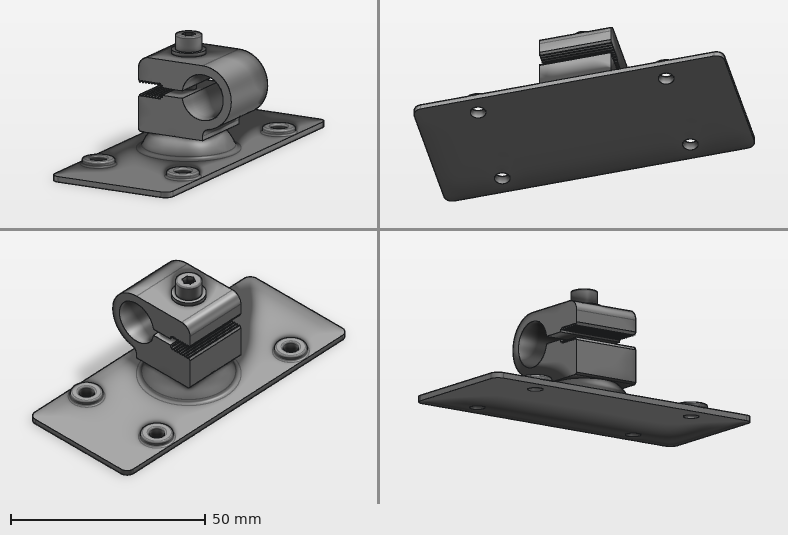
import cadquery as cq
import math

plate_width = 35.0
plate_length = 82.5
plate_thickness = 1.5
plate_corner_radius = 2.25

eyelet_spacing_x = 25.0
eyelet_spacing_y = 50.0
eyelet_hole_radius = 2.0
eyelet_rim_radius = 4.25
eyelet_height = 1.5
eyelet_round = 0.5

ball_radius = 13.3
foot_radius = 13.5
foot_blend_radius = 1.5

block_width = 19.0
block_depth = 19.0
block_bottom = 6.88
block_height = 20.0
block_top = block_bottom + block_height
block_left = -block_width / 2
block_right = block_width / 2
block_top_round = 3.0
block_bottom_chamfer = 0.5

tube_radius = 6.1
clamp_radius = 8.5
clamp_x = block_right
clamp_z = block_top - clamp_radius
clamp_neck_round = 2.0

slit_gap = 2.0
jaw_gap = 3.2
jaw_end_x = -2.5
tooth_flank_angle = 30.0
tooth_height = 0.45
tooth_pitch = 0.88
tooth_count = 7

shank_radius = 2.0
washer_radius = 4.5
washer_thickness = 1.0
head_radius = 3.45
head_height = 4.0
head_round = 0.35
socket_across_flats = 3.0
socket_depth = 2.0


def make_plate():
    """Thin rectangular plate with rounded corners."""
    plate = cq.Workplane("XY").rect(plate_width, plate_length).extrude(plate_thickness)
    return plate.edges("|Z").fillet(plate_corner_radius)


def make_eyelet():
    """Ring standing on the plate, flared at its foot and rounded over at its rim."""
    inner_top_radius = eyelet_hole_radius + eyelet_round
    z_top = plate_thickness + eyelet_height
    diagonal = eyelet_round * math.sqrt(0.5)
    profile = (
        cq.Workplane("XZ")
        .moveTo(eyelet_hole_radius, 0)
        .lineTo(eyelet_rim_radius, 0)
        .lineTo(eyelet_rim_radius + eyelet_round, plate_thickness)
        .threePointArc(
            (
                eyelet_rim_radius + eyelet_round - diagonal,
                plate_thickness + eyelet_round - diagonal,
            ),
            (eyelet_rim_radius, plate_thickness + eyelet_round),
        )
        .lineTo(eyelet_rim_radius, z_top - eyelet_round)
        .threePointArc(
            (eyelet_rim_radius - eyelet_round + diagonal, z_top - eyelet_round + diagonal),
            (eyelet_rim_radius - eyelet_round, z_top),
        )
        .lineTo(inner_top_radius, z_top)
        .threePointArc(
            (inner_top_radius - diagonal, z_top - eyelet_round + diagonal),
            (eyelet_hole_radius, z_top - eyelet_round),
        )
        .close()
    )
    return profile.revolve(360, (0, 0, 0), (0, 1, 0))


def add_eyelets(plate):
    """Drill the plate and put an eyelet at each of the four holes."""
    eyelet = make_eyelet()
    centres = cq.Workplane("XY").rect(eyelet_spacing_x, eyelet_spacing_y, forConstruction=True).vertices()
    plate = plate.cut(centres.circle(eyelet_hole_radius).extrude(plate_thickness))
    for centre in centres.vals():
        plate = plate.union(eyelet.translate((centre.X, centre.Y, 0)))
    return plate


def make_foot():
    """Ball zone from the plate to the block, with a hollow blend tangent to both plate and ball."""
    blend_z = plate_thickness + foot_blend_radius
    reach = ball_radius + foot_blend_radius
    ball_z = blend_z - math.sqrt(reach**2 - foot_radius**2)
    slope = math.atan2(blend_z - ball_z, foot_radius)
    blend_mid_angle = (slope + math.pi / 2) / 2
    top_radius = math.sqrt(ball_radius**2 - (block_bottom - ball_z) ** 2)
    ball_mid_angle = (slope + math.acos(top_radius / ball_radius)) / 2
    profile = (
        cq.Workplane("XZ")
        .moveTo(0, 0)
        .lineTo(foot_radius, 0)
        .lineTo(foot_radius, plate_thickness)
        .threePointArc(
            (
                foot_radius - foot_blend_radius * math.cos(blend_mid_angle),
                blend_z - foot_blend_radius * math.sin(blend_mid_angle),
            ),
            (ball_radius * math.cos(slope), ball_z + ball_radius * math.sin(slope)),
        )
        .threePointArc(
            (
                ball_radius * math.cos(ball_mid_angle),
                ball_z + ball_radius * math.sin(ball_mid_angle),
            ),
            (top_radius, block_bottom),
        )
        .lineTo(0, block_bottom)
        .close()
    )
    return profile.revolve(360, (0, 0, 0), (0, 1, 0))


def extrude_across(profile):
    """Extrude a closed XZ profile over the block depth, centred on Y = 0."""
    return profile.extrude(block_depth / 2, both=True)


def make_block_body():
    """Block outline with the round clamp end, blended into the right wall by a small neck round."""
    neck_x = clamp_x + clamp_neck_round
    neck_reach = clamp_radius + clamp_neck_round
    neck_z = clamp_z - math.sqrt(neck_reach**2 - clamp_neck_round**2)
    neck_angle = math.atan2(clamp_z - neck_z, clamp_x - neck_x)
    neck_mid_angle = (neck_angle + math.pi) / 2
    outline = (
        cq.Workplane("XZ")
        .moveTo(block_left + block_bottom_chamfer, block_bottom)
        .lineTo(block_right, block_bottom)
        .lineTo(block_right, neck_z)
        .threePointArc(
            (
                neck_x + clamp_neck_round * math.cos(neck_mid_angle),
                neck_z + clamp_neck_round * math.sin(neck_mid_angle),
            ),
            (
                neck_x + clamp_neck_round * math.cos(neck_angle),
                neck_z + clamp_neck_round * math.sin(neck_angle),
            ),
        )
        .threePointArc((clamp_x + clamp_radius, clamp_z), (clamp_x, block_top))
        .lineTo(block_left + block_top_round, block_top)
        .radiusArc((block_left, block_top - block_top_round), -block_top_round)
        .lineTo(block_left, block_bottom + block_bottom_chamfer)
        .close()
    )
    return extrude_across(outline)


def make_jaw_opening():
    """Serrated opening: pointed teeth with flat roots on both jaws and a sloped entry at the left."""
    tip = jaw_gap / 2
    root = tip + tooth_height
    flank_tangent = math.tan(math.radians(tooth_flank_angle))
    half_tooth = tooth_height * flank_tangent
    first_tip_x = block_left + tooth_pitch / 2
    entry = tip + tooth_pitch / 2 / flank_tangent
    lower = [(block_left, -entry)]
    for index in range(tooth_count):
        tip_x = first_tip_x + index * tooth_pitch
        lower.append((tip_x, -tip))
        lower.append((tip_x + half_tooth, -root))
        lower.append((tip_x + tooth_pitch - half_tooth, -root))
    lower.append((first_tip_x + tooth_count * tooth_pitch, -tip))
    lower.append((jaw_end_x, -tip))
    upper = [(x, -z) for x, z in reversed(lower)]
    outline = cq.Workplane("XZ", origin=(0, 0, clamp_z)).polyline(lower + upper).close()
    return extrude_across(outline)


def make_block():
    """Clamp block with tube bore, slit and serrated jaw."""
    bore = cq.Workplane("XZ", origin=(clamp_x, 0, clamp_z)).circle(tube_radius)
    slit = cq.Workplane("XY").box(clamp_x - jaw_end_x, block_depth, slit_gap, centered=(False, True, True))
    block = make_block_body()
    block = block.cut(extrude_across(bore))
    block = block.cut(slit.translate((jaw_end_x, 0, clamp_z)))
    return block.cut(make_jaw_opening())


def make_screw():
    """Socket head screw with washer; its shank bridges the slit."""
    shank = cq.Workplane("XY", origin=(0, 0, block_bottom)).circle(shank_radius).extrude(block_height)
    washer = cq.Workplane("XY", origin=(0, 0, block_top)).circle(washer_radius).extrude(washer_thickness)
    head_bottom = block_top + washer_thickness
    head = cq.Workplane("XY", origin=(0, 0, head_bottom)).circle(head_radius).extrude(head_height)
    head = head.faces(">Z").edges().fillet(head_round)
    socket_diameter = socket_across_flats / math.cos(math.pi / 6)
    socket = (
        cq.Workplane("XY")
        .transformed(offset=(0, 0, head_bottom + head_height), rotate=(0, 0, 30))
        .polygon(6, socket_diameter)
        .extrude(-socket_depth)
    )
    return shank.union(washer).union(head.cut(socket))


result = add_eyelets(make_plate()).union(make_foot()).union(make_block()).union(make_screw())